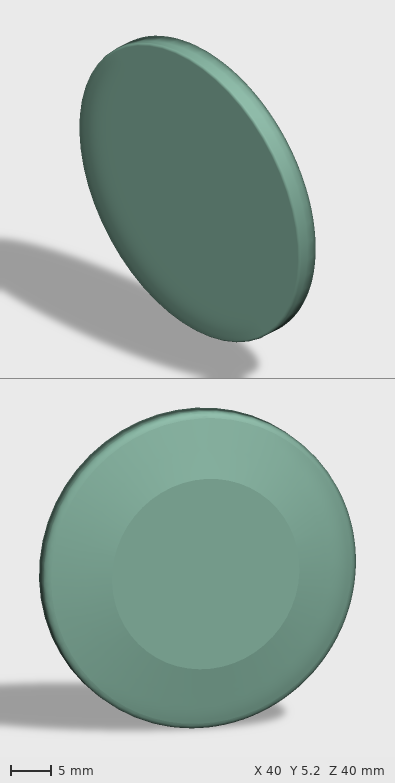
import cadquery as cq
import math

outer_radius = 20.0
thickness = 5.2

back_flat_radius = 12.0
cone_angle = 15.0

shoulder_fillet = 1.0
front_fillet = 0.3

cone_depth = (outer_radius - back_flat_radius) * math.tan(math.radians(cone_angle))
rim_depth = thickness - cone_depth


def make_disc():
    """Solid of revolution about Y: flat front, straight rim, conical back."""
    half_profile = (
        cq.Workplane("YZ")
        .lineTo(0, outer_radius)
        .lineTo(rim_depth, outer_radius)
        .lineTo(thickness, back_flat_radius)
        .lineTo(thickness, 0)
        .close()
    )
    return half_profile.revolve(360, (0, 0, 0), (1, 0, 0))


def circle_at(y, radius):
    """Selector for the circular edge of the given radius lying at depth y."""
    margin = 0.1
    reach = radius + margin
    return cq.selectors.BoxSelector(
        (-reach, y - margin, -reach), (reach, y + margin, reach), boundingbox=True
    )


def round_rim(disc):
    """Round both circular edges of the rim."""
    disc = disc.edges(circle_at(rim_depth, outer_radius)).fillet(shoulder_fillet)
    return disc.edges(circle_at(0, outer_radius)).fillet(front_fillet)


result = round_rim(make_disc())